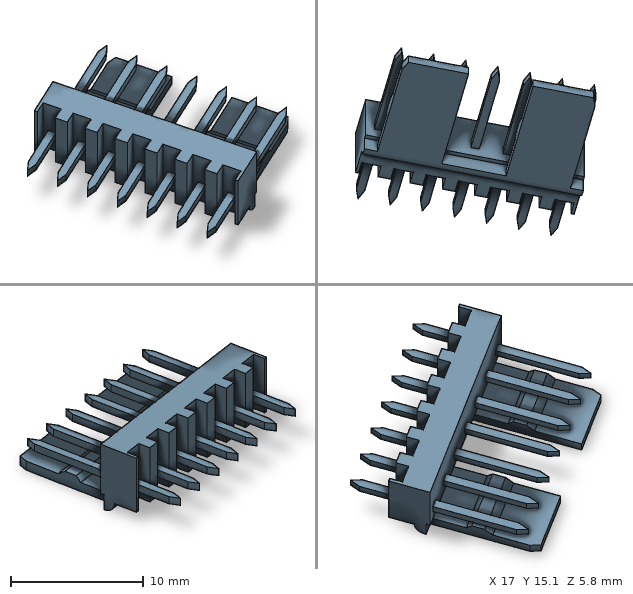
import cadquery as cq


length = 17.0
total_height = 5.8
pin_count = 7
pitch = 2.5

wall_depth = 3.32
wall_bottom = 0.9
rear_notch_depth = 0.32
rear_notch_top = 1.35
leg_thickness = 0.95

rib_width = 1.0
slot_width = pitch - rib_width
slot_depth = 1.02

pin_size = 0.65
pin_tip_length = 0.85
pin_center_z = 2.6
pin_front_reach = 3.38
pin_rear_reach = 7.48
pin_front_y = -pin_front_reach
pin_rear_y = wall_depth + pin_rear_reach

arm_overhang = 0.92
arm_rear_y = pin_rear_y + arm_overhang
arm_front_y = wall_depth - rear_notch_depth
arm_thickness = 0.82
arm_width = 2 * pitch
arm_outer_x = pitch * (pin_count - 1) / 2
arm_inner_x = arm_outer_x - arm_width
arm_chamfer_x = 0.3
arm_chamfer_y = 0.76

bump_height = 0.46
bump_rear_foot = 3.74
bump_rear_crest = 4.39
bump_front_crest = 5.42
bump_front_foot = 5.85

pin_positions = [(i - (pin_count - 1) / 2) * pitch for i in range(pin_count)]


def make_wall():
    """Wall and rounded leg as one side profile run along the full length.

    The leg's front corner is a quarter circle that reaches up to the underside of the wall.
    """
    leg_rear_y = wall_depth - rear_notch_depth
    leg_front_y = leg_rear_y - leg_thickness
    profile = (
        cq.Workplane("YZ", origin=(-length / 2, 0, 0))
        .moveTo(0, wall_bottom)
        .lineTo(0, total_height)
        .lineTo(wall_depth, total_height)
        .lineTo(wall_depth, rear_notch_top)
        .lineTo(leg_rear_y, rear_notch_top)
        .lineTo(leg_rear_y, 0)
        .lineTo(leg_front_y + wall_bottom, 0)
        .radiusArc((leg_front_y, wall_bottom), wall_bottom)
        .close()
    )
    return profile.extrude(length)


def make_slots():
    """Full-height cutters that open the front of the wall around each pin."""
    return (
        cq.Workplane("XY")
        .pushPoints([(x, slot_depth / 2) for x in pin_positions])
        .rect(slot_width, slot_depth)
        .extrude(total_height)
    )


def make_pin(x):
    """Square pin whose two ends are sharpened to vertical edges."""
    half = pin_size / 2
    return (
        cq.Workplane("XY", origin=(x, 0, pin_center_z - half))
        .polyline([
            (0, pin_front_y),
            (half, pin_front_y + pin_tip_length),
            (half, pin_rear_y - pin_tip_length),
            (0, pin_rear_y),
            (-half, pin_rear_y - pin_tip_length),
            (-half, pin_front_y + pin_tip_length),
        ])
        .close()
        .extrude(pin_size)
    )


def make_arm():
    """Latch arm on the +X side: bumped side profile with the outer rear corner cut off."""
    crest_z = arm_thickness + bump_height
    arm = (
        cq.Workplane("YZ", origin=(arm_inner_x, 0, 0))
        .polyline([
            (arm_front_y, 0),
            (arm_rear_y, 0),
            (arm_rear_y, arm_thickness),
            (arm_rear_y - bump_rear_foot, arm_thickness),
            (arm_rear_y - bump_rear_crest, crest_z),
            (arm_rear_y - bump_front_crest, crest_z),
            (arm_rear_y - bump_front_foot, arm_thickness),
            (arm_front_y, arm_thickness),
        ])
        .close()
        .extrude(arm_width)
    )
    corner = (
        cq.Workplane("XY")
        .polyline([
            (arm_outer_x, arm_rear_y),
            (arm_outer_x - arm_chamfer_x, arm_rear_y),
            (arm_outer_x, arm_rear_y - arm_chamfer_y),
        ])
        .close()
        .extrude(arm_thickness)
    )
    return arm.cut(corner)


result = make_wall().cut(make_slots())
for pin_x in pin_positions:
    result = result.union(make_pin(pin_x))
right_arm = make_arm()
result = result.union(right_arm).union(right_arm.mirror("YZ"))